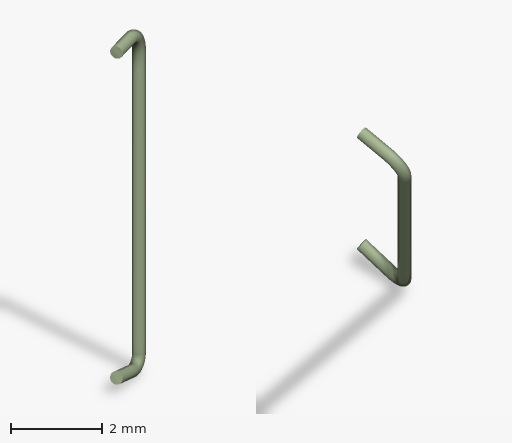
import cadquery as cq
import math

wire_diameter = 0.3
overall_height = 8.55
leg_reach = 1.25
top_bend_radius = 0.505
bottom_bend_radius = 0.3
bottom_leg_rise = 15.0

wire_radius = wire_diameter / 2
top_axis_z = overall_height - wire_radius
top_bend_z = top_axis_z - top_bend_radius
bottom_bend_z = wire_radius + bottom_bend_radius


def bottom_bend_point(angle):
    """Point (Y, Z) on the bottom bend axis, turned by angle degrees from the upright."""
    turn = math.radians(angle)
    return (
        bottom_bend_radius * (math.cos(turn) - 1),
        bottom_bend_z - bottom_bend_radius * math.sin(turn),
    )


bottom_turn = 90 + bottom_leg_rise
bottom_bend_middle = bottom_bend_point(bottom_turn / 2)
bottom_bend_end = bottom_bend_point(bottom_turn)
bottom_leg_run = leg_reach + bottom_bend_end[0]
bottom_tip_z = bottom_bend_end[1] + bottom_leg_run * math.tan(math.radians(bottom_leg_rise))

top_bend_middle = (
    top_bend_radius * (math.cos(math.radians(45)) - 1),
    top_bend_z + top_bend_radius * math.sin(math.radians(45)),
)

wire_axis = (
    cq.Workplane("YZ")
    .moveTo(-leg_reach, top_axis_z)
    .lineTo(-top_bend_radius, top_axis_z)
    .threePointArc(top_bend_middle, (0, top_bend_z))
    .lineTo(0, bottom_bend_z)
    .threePointArc(bottom_bend_middle, bottom_bend_end)
    .lineTo(-leg_reach, bottom_tip_z)
)

result = (
    cq.Workplane("XZ", origin=(0, -leg_reach, top_axis_z))
    .circle(wire_radius)
    .sweep(wire_axis)
)